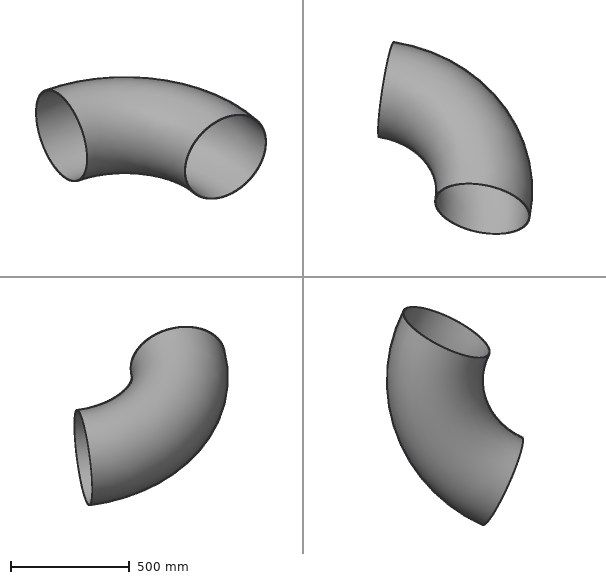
import cadquery as cq

outer_diameter = 406.0
wall_thickness = 3.0
bend_radius = 500.0
bend_angle = 90.0

outer_radius = outer_diameter / 2
bore_radius = outer_radius - wall_thickness


def pipe_elbow():
    """Pipe section at the -Y mouth, turned about the Z axis round to the +X mouth."""
    section = (
        cq.Workplane("XZ")
        .center(-bend_radius, 0)
        .circle(outer_radius)
        .circle(bore_radius)
    )
    axis_start = (bend_radius, 0)
    axis_end = (bend_radius, -1)
    return section.revolve(bend_angle, axis_start, axis_end)


result = pipe_elbow()